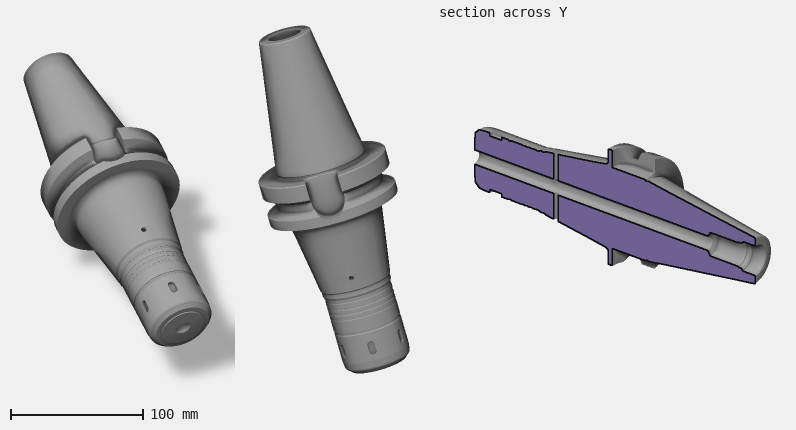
import cadquery as cq
import math

total_length = 266.8
through_bore_diameter = 12.0

gauge_x = 102.0
gauge_diameter = 70.0
taper_ratio = 7 / 24
taper_tip_diameter = gauge_diameter - gauge_x * taper_ratio
tip_chamfer = 0.8

neck_diameter = 68.8
neck_start_x = 102.7
neck_end_x = 103.8
neck_root_diameter = 72.8

front_rim_diameter = 99.5
back_rim_diameter = 100.0
flange_front_x = 104.9
flange_back_x = 139.8
front_rim_chamfer = 0.8
v_floor_diameter = 83.8
v_front_edge_x = 117.7
v_floor_start_x = 121.7
v_floor_end_x = 128.0
v_back_edge_x = 132.0

keyway_width = 25.3
keyway_end_x = 135.5
keyway_floor_z = 35.2

body_fillet_radius = 3.5
body_start_x = flange_back_x + body_fillet_radius
body_start_diameter = 72.0
body_end_x = 199.3
body_end_diameter = 55.0

collar_groove_start_x = 200.5
collar_groove_diameter = 53.0
collar_start_x = 202.0
collar_end_x = 203.8
collar_diameter = 53.5

nut_start_x = 205.5
nut_diameter = 52.0
nose_start_x = 256.5
nose_edge_x = 261.2
nose_edge_diameter = 51.0
nose_round_end_x = 263.5
nose_round_end_diameter = 47.8
nose_round_sag = 0.3
nose_face_x = 266.0
nose_face_diameter = 43.0

collet_diameter = 34.2

ring_grooves = ((206.2, 208.6), (211.8, 214.0), (215.8, 218.0), (219.8, 222.2))
ring_groove_diameter = 51.5
ring_groove_wall_length = 0.5

parting_groove = (231.8, 234.5)
parting_groove_diameter = 51.0
parting_groove_wall_length = 0.8

slot_count = 6
slot_center_x = 246.5
slot_length = 10.7
slot_width = 5.3
slot_depth = 2.7

cross_hole_x = 189.5
cross_hole_diameter = 4.0

socket_diameter = 25.0
socket_mouth_diameter = 26.5
socket_mouth_chamfer = 0.8
socket_depth = 12.0
thread_mouth_diameter = 24.0
thread_diameter = 21.3
thread_chamfer_length = 1.3
thread_end_x = 16.0
drill_diameter = 20.0
drill_end_x = 42.7
drill_point_angle = 118.0


def turned_body():
    fillet_mid = body_fillet_radius * (1 - math.sqrt(0.5))
    nose_round_mid_x = (nose_edge_x + nose_round_end_x) / 2
    nose_round_mid_radius = (nose_edge_diameter + nose_round_end_diameter) / 4
    return (
        cq.Workplane("XY")
        .moveTo(0, 0)
        .lineTo(0, taper_tip_diameter / 2 - tip_chamfer)
        .lineTo(tip_chamfer, (taper_tip_diameter + tip_chamfer * taper_ratio) / 2)
        .lineTo(gauge_x, gauge_diameter / 2)
        .lineTo(neck_start_x, neck_diameter / 2)
        .lineTo(neck_end_x, neck_diameter / 2)
        .lineTo(flange_front_x, neck_root_diameter / 2)
        .lineTo(flange_front_x, front_rim_diameter / 2 - front_rim_chamfer)
        .lineTo(flange_front_x + front_rim_chamfer, front_rim_diameter / 2)
        .lineTo(v_front_edge_x, front_rim_diameter / 2)
        .lineTo(v_floor_start_x, v_floor_diameter / 2)
        .lineTo(v_floor_end_x, v_floor_diameter / 2)
        .lineTo(v_back_edge_x, back_rim_diameter / 2)
        .lineTo(flange_back_x, back_rim_diameter / 2)
        .lineTo(flange_back_x, body_start_diameter / 2 + body_fillet_radius)
        .threePointArc(
            (flange_back_x + fillet_mid, body_start_diameter / 2 + fillet_mid),
            (body_start_x, body_start_diameter / 2),
        )
        .lineTo(body_end_x, body_end_diameter / 2)
        .lineTo(collar_groove_start_x, collar_groove_diameter / 2)
        .lineTo(collar_start_x, collar_groove_diameter / 2)
        .lineTo(collar_start_x, collar_diameter / 2)
        .lineTo(collar_end_x, collar_diameter / 2)
        .lineTo(nut_start_x, nut_diameter / 2)
        .lineTo(nose_start_x, nut_diameter / 2)
        .lineTo(nose_edge_x, nose_edge_diameter / 2)
        .threePointArc(
            (nose_round_mid_x + nose_round_sag, nose_round_mid_radius + nose_round_sag),
            (nose_round_end_x, nose_round_end_diameter / 2),
        )
        .lineTo(nose_face_x, nose_face_diameter / 2)
        .lineTo(nose_face_x, collet_diameter / 2)
        .lineTo(total_length, collet_diameter / 2)
        .lineTo(total_length, 0)
        .close()
        .revolve(360, (0, 0, 0), (1, 0, 0))
    )


def nut_groove(span, floor_diameter, back_wall_length):
    """Ring groove with a square front wall and a sloping back wall."""
    start_x, end_x = span
    return (
        cq.Workplane("XY")
        .moveTo(start_x, nut_diameter / 2)
        .lineTo(start_x, floor_diameter / 2)
        .lineTo(end_x - back_wall_length, floor_diameter / 2)
        .lineTo(end_x, nut_diameter / 2)
        .close()
        .revolve(360, (0, 0, 0), (1, 0, 0))
    )


def axial_bore():
    point_depth = (drill_diameter - through_bore_diameter) / 2
    point_length = point_depth / math.tan(math.radians(drill_point_angle / 2))
    return (
        cq.Workplane("XY")
        .moveTo(0, 0)
        .lineTo(0, socket_mouth_diameter / 2)
        .lineTo(socket_mouth_chamfer, socket_diameter / 2)
        .lineTo(socket_depth, socket_diameter / 2)
        .lineTo(socket_depth, thread_mouth_diameter / 2)
        .lineTo(socket_depth + thread_chamfer_length, thread_diameter / 2)
        .lineTo(thread_end_x, thread_diameter / 2)
        .lineTo(thread_end_x, drill_diameter / 2)
        .lineTo(drill_end_x, drill_diameter / 2)
        .lineTo(drill_end_x + point_length, through_bore_diameter / 2)
        .lineTo(total_length, through_bore_diameter / 2)
        .lineTo(total_length, 0)
        .close()
        .revolve(360, (0, 0, 0), (1, 0, 0))
    )


def keyway():
    straight_end_x = keyway_end_x - keyway_width / 2
    return (
        cq.Workplane("XY", origin=(0, 0, keyway_floor_z))
        .moveTo(gauge_x, -keyway_width / 2)
        .lineTo(straight_end_x, -keyway_width / 2)
        .threePointArc((keyway_end_x, 0), (straight_end_x, keyway_width / 2))
        .lineTo(gauge_x, keyway_width / 2)
        .close()
        .extrude(back_rim_diameter / 2)
    )


def spanner_slot():
    return (
        cq.Workplane("XY", origin=(slot_center_x, 0, nut_diameter / 2 - slot_depth))
        .slot2D(slot_length, slot_width)
        .extrude(2 * slot_depth)
    )


def cross_hole():
    return (
        cq.Workplane("XY", origin=(cross_hole_x, 0, 0))
        .circle(cross_hole_diameter / 2)
        .extrude(back_rim_diameter, both=True)
    )


def about_axis(shape, angle):
    return shape.rotate((0, 0, 0), (1, 0, 0), angle)


result = turned_body().cut(axial_bore())
for span in ring_grooves:
    result = result.cut(nut_groove(span, ring_groove_diameter, ring_groove_wall_length))
result = result.cut(nut_groove(parting_groove, parting_groove_diameter, parting_groove_wall_length))
for angle in (0, 180):
    result = result.cut(about_axis(keyway(), angle))
for index in range(slot_count):
    result = result.cut(about_axis(spanner_slot(), index * 360 / slot_count))
result = result.cut(cross_hole())